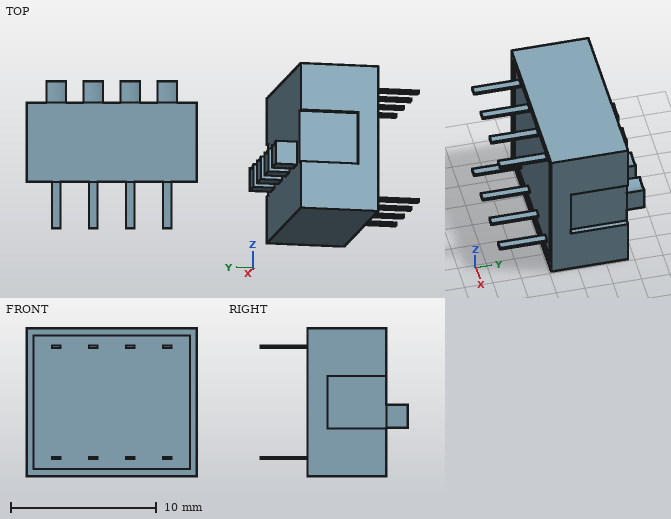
import cadquery as cq

body_width = 11.68
body_depth = 5.42
body_height = 10.16

rim_width = 0.49
recess_depth = 0.13

groove_length = 4.03
groove_height = 3.62
groove_depth = 0.4

position_count = 4
pitch = 2.54
row_spacing = 7.62
pin_width = 0.6
pin_thickness = 0.15
pin_length = 3.2

actuator_width = 1.35
actuator_height = 1.6
actuator_length = 1.48
actuator_top_z = -0.16
hollow_depth = 0.155

position_xs = [(i - (position_count - 1) / 2) * pitch for i in range(position_count)]


def block(width, depth, height, x, y_start, z):
    """Box centred on x and z that runs from y_start towards +Y."""
    return (
        cq.Workplane("XY")
        .box(width, depth, height, centered=(True, False, True))
        .translate((x, y_start, z))
    )


def make_housing():
    housing = block(body_width, body_depth, body_height, 0, 0, 0)
    recess_width = body_width - 2 * rim_width
    recess_height = body_height - 2 * rim_width
    housing = housing.cut(block(recess_width, recess_depth, recess_height, 0, 0, 0))

    groove_start = body_depth - groove_length
    for end_x in (-body_width / 2, body_width / 2):
        groove = block(2 * groove_depth, groove_length, groove_height, end_x, groove_start, 0)
        housing = housing.cut(groove)
    return housing


def make_pin(x, z):
    """Blade that stands on the recess floor and projects past the rim."""
    return block(pin_width, pin_length + recess_depth, pin_thickness, x, -pin_length, z)


def make_actuator(x):
    """Slider tab with a concave arc across its upper side."""
    left = x - actuator_width / 2
    right = x + actuator_width / 2
    bottom_z = actuator_top_z - actuator_height
    return (
        cq.Workplane("XZ", origin=(0, body_depth, 0))
        .moveTo(left, bottom_z)
        .lineTo(right, bottom_z)
        .lineTo(right, actuator_top_z)
        .threePointArc((x, actuator_top_z - hollow_depth), (left, actuator_top_z))
        .close()
        .extrude(-actuator_length)
    )


result = make_housing()
for position_x in position_xs:
    result = result.union(make_actuator(position_x))
    for row_z in (-row_spacing / 2, row_spacing / 2):
        result = result.union(make_pin(position_x, row_z))